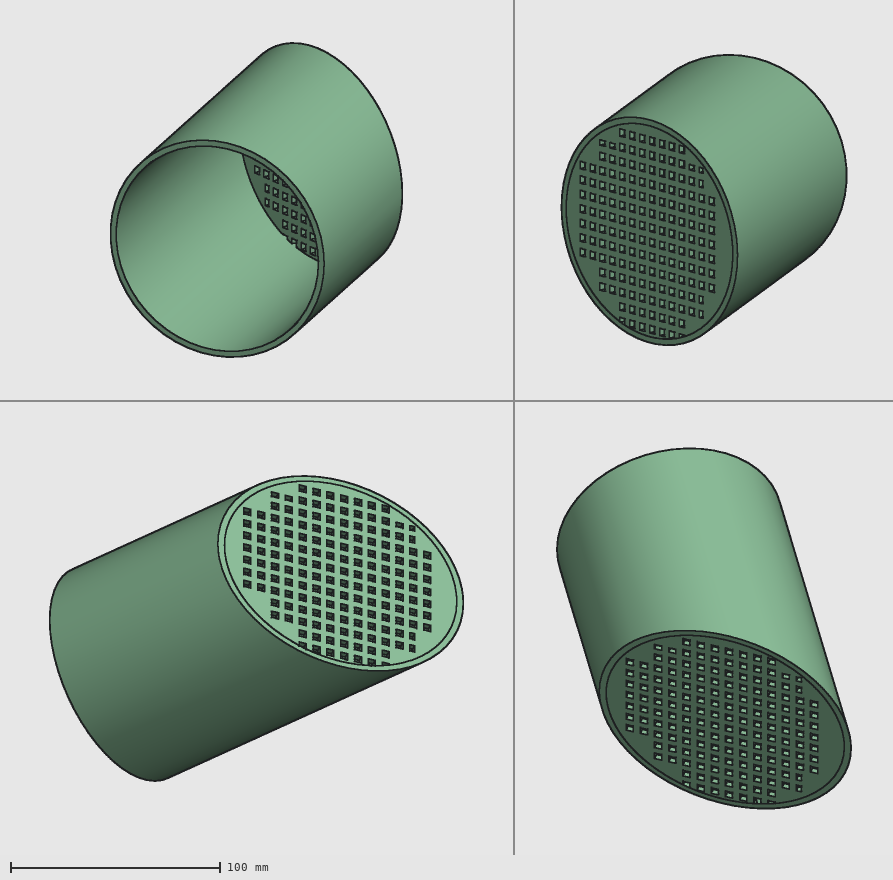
import cadquery as cq
import math

LENGTH = 165.2
OUTER_DIAMETER = 110.0
BORE_DIAMETER = 104.0
SLANT_ANGLE = 30.0

PLATE_THICKNESS = 3.0
GRID_COUNT = 14
GRID_SPAN = 93.0
PITCH = GRID_SPAN / (GRID_COUNT - 1)
HOLE_SIZE = PITCH / 2
MIDDLE_ROW = 7

TALL_BLOCK = (1, 14, 4, 10)
MIDDLE_BLOCK = (2, 12, 2, 12)
WIDE_BLOCK = (4, 10, 1, 14)
MIDDLE_BLOCK_LEFT = -40.1
MIDDLE_BLOCK_TOP = 38.3

slant = math.radians(SLANT_ANGLE)
slant_middle = LENGTH - OUTER_DIAMETER / 2 * math.tan(slant)
inner_face_middle = slant_middle - PLATE_THICKNESS / math.cos(slant)


def slant_plane(axis_position):
    """Plane parallel to the slanted end, facing into the tube; local Y is global Z."""
    return cq.Plane(
        origin=(0, axis_position, 0),
        xDir=(math.cos(slant), -math.sin(slant), 0),
        normal=(-math.sin(slant), -math.cos(slant), 0),
    )


def full_rod(diameter):
    """Solid cylinder along the tube axis."""
    return cq.Workplane("XZ").circle(diameter / 2).extrude(-LENGTH)


def slanted_slab(axis_position, depth):
    """Oversized slab reaching from the given slanted plane by depth (negative is outward)."""
    return cq.Workplane(slant_plane(axis_position)).rect(2 * LENGTH, 2 * LENGTH).extrude(depth)


def make_tube():
    beyond_slant = slanted_slab(slant_middle, -LENGTH)
    return full_rod(OUTER_DIAMETER).cut(full_rod(BORE_DIAMETER)).cut(beyond_slant)


def hole_block(block):
    """Square prisms for one block of holes, running through the plate."""
    first_row, last_row, first_column, last_column = block
    centers = []
    for row in range(first_row, last_row + 1):
        for column in range(first_column, last_column + 1):
            across = (column - (GRID_COUNT + 1) / 2) * PITCH
            up = HOLE_SIZE / 2 + (MIDDLE_ROW - row) * PITCH
            centers.append((across, up))
    return (
        cq.Workplane(slant_plane(inner_face_middle))
        .pushPoints(centers)
        .rect(HOLE_SIZE, HOLE_SIZE)
        .extrude(-PLATE_THICKNESS)
    )


def middle_block_limits():
    """Box that bounds the middle block on its left and top sides."""
    return (
        cq.Workplane(slant_plane(inner_face_middle))
        .moveTo(MIDDLE_BLOCK_LEFT, MIDDLE_BLOCK_TOP)
        .rect(LENGTH, -LENGTH, centered=False)
        .extrude(-PLATE_THICKNESS)
    )


def make_grate():
    plate = full_rod(BORE_DIAMETER).intersect(slanted_slab(inner_face_middle, -PLATE_THICKNESS))
    middle_holes = hole_block(MIDDLE_BLOCK).intersect(middle_block_limits())
    return plate.cut(hole_block(TALL_BLOCK)).cut(middle_holes).cut(hole_block(WIDE_BLOCK))


tube = make_tube()
grate = make_grate()

result = cq.Compound.makeCompound([tube.solids().val(), grate.solids().val()])